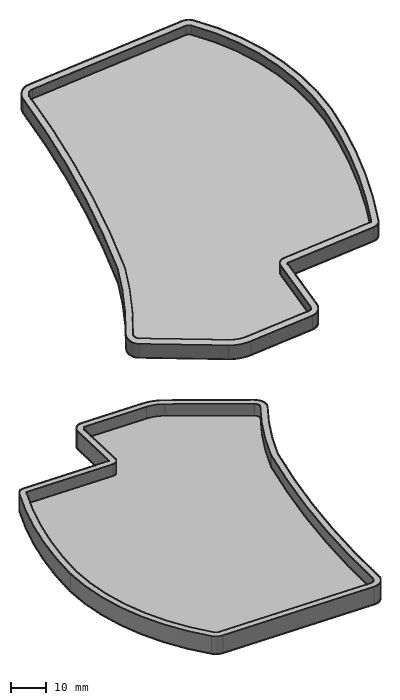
import cadquery as cq
import math

length = 112.9
height = 6.0
wall = 2.0
floor_thickness = 2.0

rear_left_y = 71.6
rear_left_mid = (22.0, 85.6)
crown = (48.6, 90.8)
rear_right_mid = (71.0, 88.2)
rear_right_y = 81.9

step_x = 92.5
step_y = 52.5

slant_top_y = 26.4
slant_angle = math.radians(60)
tip_x = 96.9
tip_y = slant_top_y - (length - tip_x) * math.tan(slant_angle)

front_left_y = 17.0
front_left_mid = (36.3, 15.6)
front_join = (71.7, 10.0)
front_right_mid = (84.3, 5.3)

rear_left_radius = 4.0
rear_right_radius = 2.5
step_end_radius = 3.2
slant_radius = 12.4
tip_radius = 3.7
front_left_radius = 4.0


def round_corner(body, x, y, radius):
    """Round the vertical edge standing at (x, y)."""
    return body.edges(cq.selectors.NearestToPointSelector((x, y, height / 2))).fillet(radius)


blank = (
    cq.Workplane("XY")
    .moveTo(0, front_left_y)
    .lineTo(0, rear_left_y)
    .threePointArc(rear_left_mid, crown)
    .threePointArc(rear_right_mid, (step_x, rear_right_y))
    .lineTo(step_x, step_y)
    .lineTo(length, step_y)
    .lineTo(length, slant_top_y)
    .lineTo(tip_x, tip_y)
    .threePointArc(front_right_mid, front_join)
    .threePointArc(front_left_mid, (0, front_left_y))
    .close()
    .extrude(height)
)

rounded_corners = [
    (0, rear_left_y, rear_left_radius),
    (step_x, rear_right_y, rear_right_radius),
    (length, step_y, step_end_radius),
    (length, slant_top_y, slant_radius),
    (tip_x, tip_y, tip_radius),
    (0, front_left_y, front_left_radius),
]
for corner_x, corner_y, corner_radius in rounded_corners:
    blank = round_corner(blank, corner_x, corner_y, corner_radius)

outline = blank.faces("<Z").wires().val()
pocket_outline = outline.offset2D(-wall, "arc")[0]
pocket = (
    cq.Workplane("XY")
    .add(pocket_outline)
    .toPending()
    .extrude(height)
    .translate((0, 0, floor_thickness))
)
result = blank.cut(pocket)